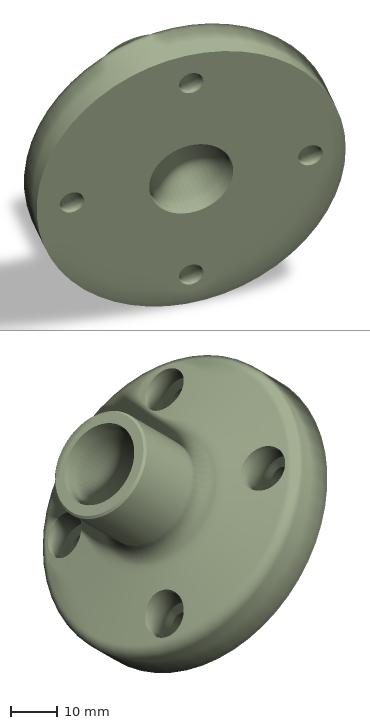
import cadquery as cq
import math

total_length = 35.5
flange_diameter = 70.0
rim_width = 8.9
tube_diameter = 25.0
bore_diameter = 19.0
tube_end_chamfer = 0.5

cone_slope = math.radians(10)
neck_fillet = 3.6
rim_round = 2.5

screw_count = 4
screw_circle_diameter = 54.0
screw_hole_diameter = 5.5
counterbore_diameter = 10.5
screw_seat_thickness = 6.0

tube_radius = tube_diameter / 2
flange_radius = flange_diameter / 2
rim_start = total_length - rim_width


def arc_point(center, radius, angle):
    """Point (x, r) on a circle, with the angle measured from the X axis."""
    return (center[0] + radius * math.cos(angle), center[1] + radius * math.sin(angle))


def make_body():
    """Revolve the half section of tube, neck fillet, cone and rim about X."""
    rim_center = (rim_start, flange_radius - rim_round)
    cone_outer_angle = math.pi - cone_slope
    cone_outer = arc_point(rim_center, rim_round, cone_outer_angle)
    rim_mid = arc_point(rim_center, rim_round, (cone_outer_angle + math.pi / 2) / 2)

    neck_center_radius = tube_radius + neck_fillet
    cone_inner_radius = neck_center_radius - neck_fillet * math.sin(cone_slope)
    cone_inner_x = cone_outer[0] - (cone_outer[1] - cone_inner_radius) * math.tan(cone_slope)
    neck_center = (cone_inner_x - neck_fillet * math.cos(cone_slope), neck_center_radius)
    neck_mid = arc_point(neck_center, neck_fillet, -(cone_slope + math.pi / 2) / 2)

    profile = (
        cq.Workplane("XY")
        .moveTo(0, 0)
        .lineTo(0, tube_radius - tube_end_chamfer)
        .lineTo(tube_end_chamfer, tube_radius)
        .lineTo(neck_center[0], tube_radius)
        .threePointArc(neck_mid, (cone_inner_x, cone_inner_radius))
        .lineTo(*cone_outer)
        .threePointArc(rim_mid, (rim_start, flange_radius))
        .lineTo(total_length, flange_radius)
        .lineTo(total_length, 0)
        .close()
    )
    return profile.revolve(360, (0, 0, 0), (1, 0, 0))


def cylinder_along_x(diameter, length):
    """Cylinder on the X axis that starts at X = 0."""
    return cq.Workplane("YZ").circle(diameter / 2).extrude(length)


def make_screw_hole(angle):
    """Cutter for one counterbored screw hole at an angle in degrees about X."""
    through_hole = cylinder_along_x(screw_hole_diameter, total_length)
    counterbore = cylinder_along_x(counterbore_diameter, total_length - screw_seat_thickness)
    cutter = through_hole.union(counterbore).translate((0, screw_circle_diameter / 2, 0))
    return cutter.rotate((0, 0, 0), (1, 0, 0), angle)


result = make_body().cut(cylinder_along_x(bore_diameter, total_length))
for index in range(screw_count):
    result = result.cut(make_screw_hole(index * 360 / screw_count))